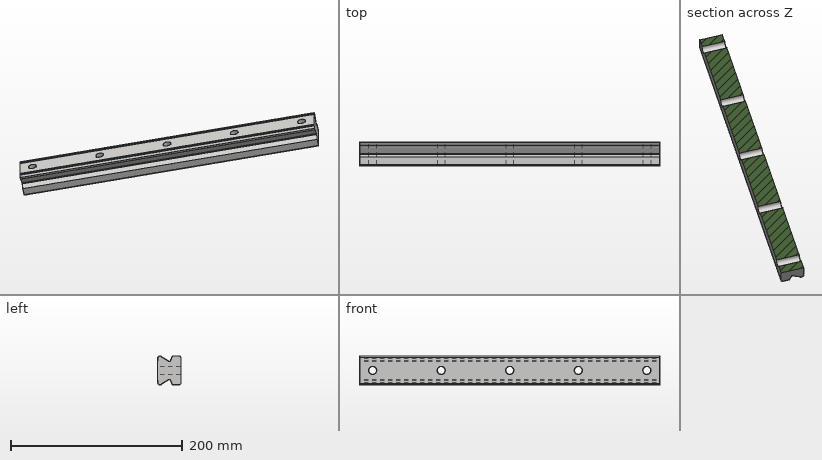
import cadquery as cq

length = 350.0
depth = 27.5
height = 34.0

relief_inner_height = 11.2
relief_outer_height = 14.5
relief_taper = 0.5
relief_depth = 0.5
back_chamfer = 2.0
front_chamfer = 1.8

groove_start = 4.2
race_middle = 5.2
race_end = 6.5
floor_start = 13.3
floor_end = 14.7
groove_end = 17.5

race_middle_depth = 1.5
race_depth = 2.0
groove_depth = 6.3

hole_diameter = 9.0
hole_count = 5
end_margin = 15.0
hole_pitch = (length - 2 * end_margin) / (hole_count - 1)

half_height = height / 2
back = depth / 2
front = -depth / 2
relief = back - relief_depth


def make_upper_half():
    """Extrude the (Y, Z) section above Z = 0, with a hollow race leading into the groove."""
    section = (
        cq.Workplane("YZ")
        .moveTo(back, 0)
        .lineTo(back, relief_inner_height)
        .lineTo(relief, relief_inner_height + relief_taper)
        .lineTo(relief, relief_outer_height - relief_taper)
        .lineTo(back, relief_outer_height)
        .lineTo(back, half_height - back_chamfer)
        .lineTo(back - back_chamfer, half_height)
        .lineTo(back - groove_start, half_height)
        .threePointArc(
            (back - race_middle, half_height - race_middle_depth),
            (back - race_end, half_height - race_depth),
        )
        .lineTo(back - floor_start, half_height - groove_depth)
        .lineTo(back - floor_end, half_height - groove_depth)
        .lineTo(back - groove_end, half_height)
        .lineTo(front + front_chamfer, half_height)
        .lineTo(front, half_height - front_chamfer)
        .lineTo(front, 0)
        .close()
    )
    return section.extrude(length / 2, both=True)


def make_rail():
    """Join the upper half to its mirror image below Z = 0."""
    upper_half = make_upper_half()
    return upper_half.union(upper_half.mirror("XY")).clean()


def make_holes():
    """Plain holes running through the full depth along Y."""
    row = cq.Workplane("XZ").rarray(hole_pitch, 3.5, hole_count, 1)
    return row.circle(hole_diameter / 2).extrude(depth, both=True)


result = make_rail().cut(make_holes())